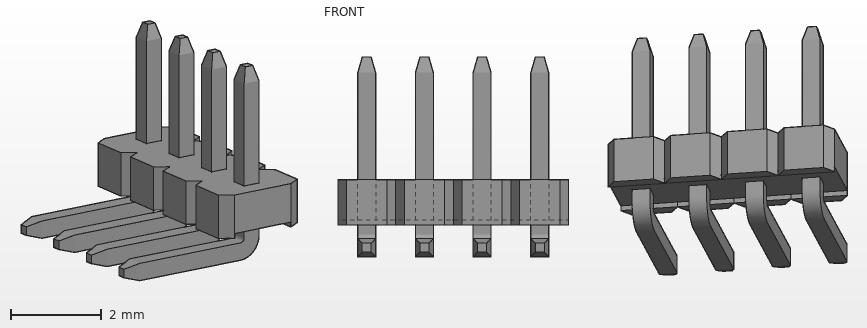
import cadquery as cq


pin_count = 4
pitch = 1.27
row_length = pin_count * pitch
pin_places = [(i + 0.5) * pitch - row_length / 2 for i in range(pin_count)]

housing_depth = 2.105
housing_height = 1.0
notch_depth = 0.3
notch_half_width = 0.195
groove_width = 1.485
groove_depth = 0.11

pin_width = 0.4
tip_length = 0.35
tip_width = 0.2
post_height = 2.705
foot_drop = 0.695
foot_reach = 3.34
bend_inner_radius = 0.1

bend_outer_radius = bend_inner_radius + pin_width
half_pin = pin_width / 2
post_top = housing_height + post_height
foot_bottom = -foot_drop
foot_axis_z = foot_bottom + half_pin


def make_cell(x):
    """One housing block with four chamfered corners; neighbouring corners form V notches."""
    half_x = pitch / 2
    half_y = housing_depth / 2
    flat_x = half_x - notch_half_width
    flat_y = half_y - notch_depth
    outline = [
        (-half_x, -flat_y), (-flat_x, -half_y), (flat_x, -half_y), (half_x, -flat_y),
        (half_x, flat_y), (flat_x, half_y), (-flat_x, half_y), (-half_x, flat_y),
    ]
    return cq.Workplane("XY").center(x, 0).polyline(outline).close().extrude(housing_height)


def make_housing():
    """Row of blocks with a groove along the bottom and a square hole for each pin."""
    housing = make_cell(pin_places[0])
    for x in pin_places[1:]:
        housing = housing.union(make_cell(x))

    groove = cq.Workplane("XY").rect(row_length, groove_width).extrude(groove_depth)
    holes = (
        cq.Workplane("XY")
        .pushPoints([(x, 0) for x in pin_places])
        .rect(pin_width, pin_width)
        .extrude(housing_height)
    )
    return housing.cut(groove).cut(holes)


def make_tip(base_center, direction):
    """Four-sided taper that continues a pin end from base_center along direction."""
    base = cq.Plane(origin=base_center, xDir=(1, 0, 0), normal=direction)
    return (
        cq.Workplane(base)
        .rect(pin_width, pin_width)
        .workplane(offset=tip_length)
        .rect(tip_width, tip_width)
        .loft(ruled=True)
    )


def make_pin(x):
    """Square pin with an upright post, a rounded 90 degree bend and a horizontal foot."""
    shank_top = post_top - tip_length
    shank_end = tip_length - foot_reach
    bend_y = half_pin - bend_outer_radius
    bend_z = foot_bottom + bend_outer_radius
    shank = (
        cq.Workplane("YZ", origin=(x, 0, 0))
        .moveTo(-half_pin, shank_top)
        .lineTo(half_pin, shank_top)
        .lineTo(half_pin, bend_z)
        .radiusArc((bend_y, foot_bottom), bend_outer_radius)
        .lineTo(shank_end, foot_bottom)
        .lineTo(shank_end, foot_bottom + pin_width)
        .lineTo(bend_y, foot_bottom + pin_width)
        .radiusArc((-half_pin, bend_z), -bend_inner_radius)
        .close()
        .extrude(half_pin, both=True)
    )
    post_tip = make_tip((x, 0, shank_top), (0, 0, 1))
    foot_tip = make_tip((x, shank_end, foot_axis_z), (0, -1, 0))
    return shank.union(post_tip).union(foot_tip)


housing = make_housing()
pins = [make_pin(x) for x in pin_places]

result = cq.Compound.makeCompound([housing.solids().val(), *[pin.solids().val() for pin in pins]])